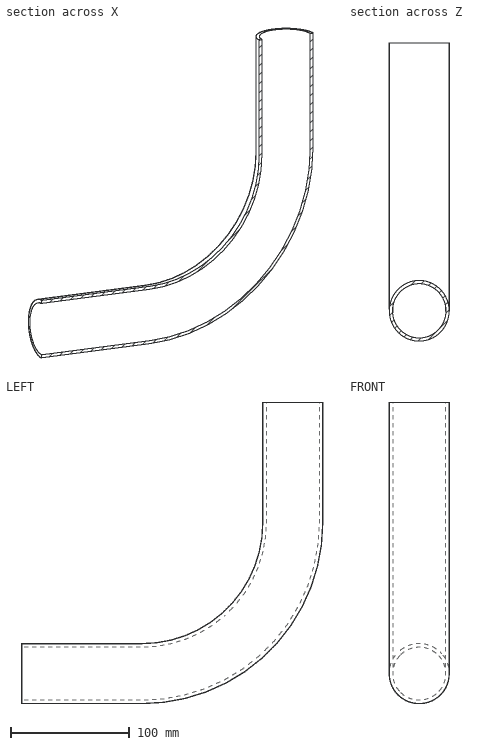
import cadquery as cq
import math

outer_diameter = 50.8
inner_diameter = 44.7
overall_length = 254.0
straight_length = 101.5

bend_radius = overall_length - straight_length - outer_diameter / 2


def centre_line():
    """Path in the YZ plane: down the upright leg, round the bend, out along +Y."""
    bend_top = bend_radius
    leg_end = bend_radius + straight_length
    mid_offset = bend_radius * (1 - math.sqrt(0.5))
    return (
        cq.Workplane("YZ")
        .moveTo(0, leg_end)
        .lineTo(0, bend_top)
        .threePointArc((mid_offset, mid_offset), (bend_radius, 0))
        .lineTo(leg_end, 0)
    )


def bent_tube():
    """Sweep the ring section along the centre line from the top of the upright leg."""
    top = bend_radius + straight_length
    section = (
        cq.Workplane("XY", origin=(0, 0, top))
        .circle(outer_diameter / 2)
        .circle(inner_diameter / 2)
    )
    return section.sweep(centre_line())


result = bent_tube()